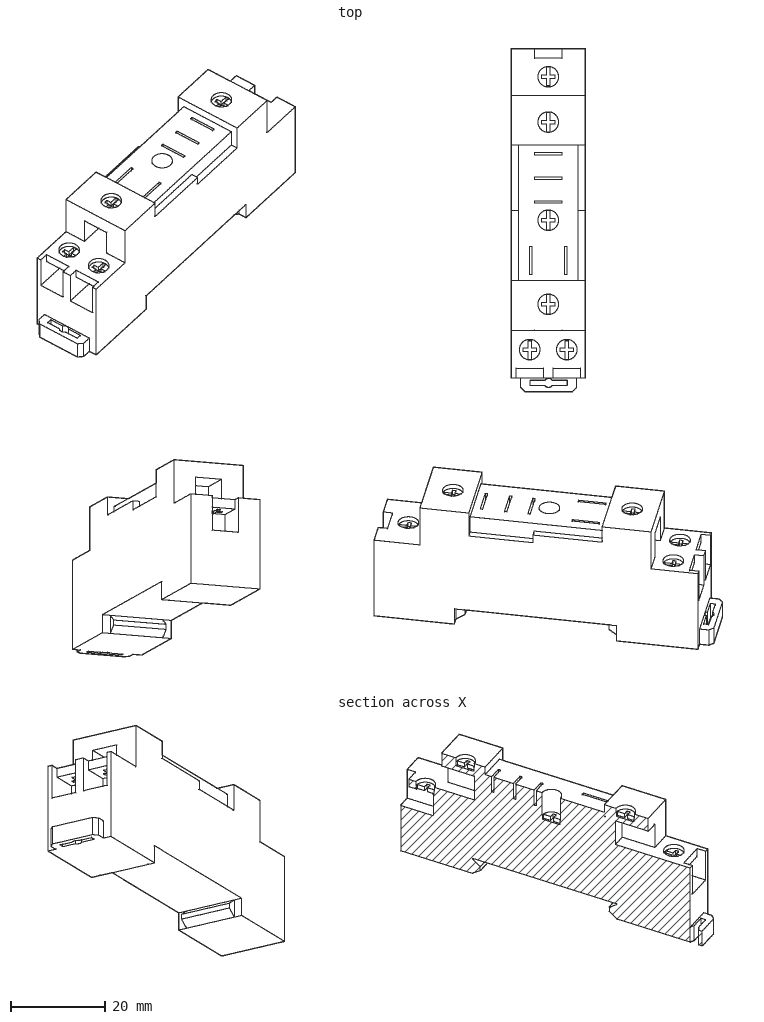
import cadquery as cq


WIDTH = 15.8
HEIGHT = 29.0
OVERALL_LENGTH = 73.0
BODY_LENGTH = 70.1
LEDGE_HEIGHT = 19.5
LEDGE_LENGTH = 10.15
REAR_LEDGE_LENGTH = 9.9
TOWER_LENGTH = 10.6
TOWER_FRONT = LEDGE_LENGTH
TOWER_BACK = BODY_LENGTH - REAR_LEDGE_LENGTH
DECK_FRONT = TOWER_FRONT + TOWER_LENGTH
DECK_BACK = TOWER_BACK - TOWER_LENGTH

DECK_HEIGHT = 27.0
SHOULDER_WIDTH = 1.5
SHOULDER_STEP = 2.0
SHOULDER_STEP_Y = 35.7
FRONT_SHOULDER_HEIGHT = DECK_HEIGHT - SHOULDER_STEP
REAR_SHOULDER_HEIGHT = FRONT_SHOULDER_HEIGHT - SHOULDER_STEP

CHANNEL_FRONT = 17.7
CHANNEL_BACK = 52.7
CHANNEL_HEIGHT = 3.95
LATCH_REACH = 2.0
LATCH_TIP_HEIGHT = 1.1
SLIDER_WIDTH = 12.0
SLIDER_X = 0.1
TAB_LENGTH = OVERALL_LENGTH - BODY_LENGTH
TAB_CHAMFER = 0.95
TAB_SLOT_LENGTH = 7.9
TAB_SLOT_WIDTH = 1.1
TAB_HOLE_DIAMETER = 1.9
TAB_SLOT_Y = -1.0

OPENING_WIDTH = 5.9
OPENING_DEPTH = 7.9
TOWER_OPENING_TOP = 25.55
LEDGE_OPENING_FLOOR = 12.0
LEDGE_OPENING_TOP = 17.45
NOTCH_DEPTH = 2.05

PAIR_X = 3.95
SCREW_DIAMETER = 4.4
SCREW_RECESS = 1.0
CROSS_LENGTH = 4.15
CROSS_SPAN = 2.9
CROSS_WIDTH = 0.7
CROSS_DEPTH = 1.0
FRONT_LEDGE_SCREW_Y = 6.05
FRONT_TOWER_SCREW_Y = 15.7
DECK_SCREW_Y = 33.6
REAR_TOWER_SCREW_Y = 54.45
REAR_LEDGE_SCREW_Y = 64.1
DECK_SCREW_RECESS = 5.9

SLIT_LENGTH = 5.9
SLIT_WIDTH = 0.5
SLIT_DEPTH = 3.95
CROSSWISE_SLIT_YS = (37.45, 42.5, 47.75)
LENGTHWISE_SLIT_X = 3.7
LENGTHWISE_SLIT_Y = 25.05


def block(x_mid, x_size, y_start, y_end, z_start, z_end):
    """Box centred on x_mid, between the given Y and Z limits."""
    return (
        cq.Workplane("XY")
        .box(x_size, y_end - y_start, z_end - z_start, centered=(True, False, False))
        .translate((x_mid, y_start, z_start))
    )


def side_profile(points, width):
    """Outline in the YZ plane, extruded to both sides of the middle plane."""
    return cq.Workplane("YZ").polyline(points).close().extrude(width / 2, both=True)


def housing():
    body = side_profile(
        [
            (0, 0),
            (CHANNEL_FRONT, 0),
            (CHANNEL_FRONT, CHANNEL_HEIGHT),
            (CHANNEL_BACK, CHANNEL_HEIGHT),
            (CHANNEL_BACK, 0),
            (BODY_LENGTH, 0),
            (BODY_LENGTH, LEDGE_HEIGHT),
            (TOWER_BACK, LEDGE_HEIGHT),
            (TOWER_BACK, HEIGHT),
            (DECK_BACK, HEIGHT),
            (DECK_BACK, DECK_HEIGHT),
            (DECK_FRONT, DECK_HEIGHT),
            (DECK_FRONT, HEIGHT),
            (TOWER_FRONT, HEIGHT),
            (TOWER_FRONT, LEDGE_HEIGHT),
            (0, LEDGE_HEIGHT),
        ],
        WIDTH,
    )
    shoulder_x = (WIDTH - SHOULDER_WIDTH) / 2
    for x in (-shoulder_x, shoulder_x):
        body = body.cut(
            block(x, SHOULDER_WIDTH, DECK_FRONT, SHOULDER_STEP_Y, FRONT_SHOULDER_HEIGHT, DECK_HEIGHT)
        )
        body = body.cut(
            block(x, SHOULDER_WIDTH, SHOULDER_STEP_Y, DECK_BACK, REAR_SHOULDER_HEIGHT, DECK_HEIGHT)
        )
    return body


def latch(wall_y, direction):
    """Tapered catch on a channel wall, pointing along +Y or -Y."""
    tip_y = wall_y + direction * LATCH_REACH
    tip_bottom = (CHANNEL_HEIGHT - LATCH_TIP_HEIGHT) / 2
    return side_profile(
        [
            (wall_y, 0),
            (tip_y, tip_bottom),
            (tip_y, tip_bottom + LATCH_TIP_HEIGHT),
            (wall_y, CHANNEL_HEIGHT),
        ],
        SLIDER_WIDTH,
    ).translate((SLIDER_X, 0, 0))


def release_tab():
    """Tab on the front wall, with a screwdriver slot widened by a round hole."""
    tab = block(SLIDER_X, SLIDER_WIDTH, -TAB_LENGTH, 0, 0, CHANNEL_HEIGHT)
    tab = tab.edges("|Z and <Y").chamfer(TAB_CHAMFER)
    slot = block(
        SLIDER_X,
        TAB_SLOT_LENGTH,
        TAB_SLOT_Y - TAB_SLOT_WIDTH / 2,
        TAB_SLOT_Y + TAB_SLOT_WIDTH / 2,
        0,
        CHANNEL_HEIGHT,
    )
    hole = cq.Workplane("XY").center(SLIDER_X, TAB_SLOT_Y).circle(TAB_HOLE_DIAMETER / 2).extrude(CHANNEL_HEIGHT)
    return tab.cut(slot).cut(hole)


def wire_opening(x, wall_y, direction, floor, top):
    """Blind opening that runs inward from a wall along +Y or -Y."""
    y_start, y_end = sorted((wall_y, wall_y + direction * OPENING_DEPTH))
    return block(x, OPENING_WIDTH, y_start, y_end, floor, top)


def ledge_opening(x, wall_y, direction):
    """Wire opening below a ledge, with a shallow notch up through the ledge edge."""
    y_start, y_end = sorted((wall_y, wall_y + direction * NOTCH_DEPTH))
    notch = block(x, OPENING_WIDTH, y_start, y_end, LEDGE_OPENING_FLOOR, LEDGE_HEIGHT)
    return wire_opening(x, wall_y, direction, LEDGE_OPENING_FLOOR, LEDGE_OPENING_TOP).union(notch)


def screw(x, y, top, recess):
    """Round recess with a cross slot sunk into its floor."""
    floor = top - recess
    shape = cq.Workplane("XY").circle(SCREW_DIAMETER / 2).extrude(recess).translate((x, y, floor))
    for x_size, y_size in ((CROSS_WIDTH, CROSS_LENGTH), (CROSS_SPAN, CROSS_WIDTH)):
        shape = shape.union(block(x, x_size, y - y_size / 2, y + y_size / 2, floor - CROSS_DEPTH, floor))
    return shape


def pin_slit(x, y, x_size, y_size):
    return block(x, x_size, y - y_size / 2, y + y_size / 2, DECK_HEIGHT - SLIT_DEPTH, DECK_HEIGHT)


result = housing()
result = result.union(latch(CHANNEL_FRONT, 1)).union(latch(CHANNEL_BACK, -1))
result = result.union(release_tab())

for pair_x in (-PAIR_X, PAIR_X):
    result = result.cut(ledge_opening(pair_x, 0, 1))
    result = result.cut(screw(pair_x, FRONT_LEDGE_SCREW_Y, LEDGE_HEIGHT, SCREW_RECESS))
result = result.cut(wire_opening(0, TOWER_FRONT, 1, LEDGE_HEIGHT, TOWER_OPENING_TOP))
result = result.cut(screw(0, FRONT_TOWER_SCREW_Y, HEIGHT, SCREW_RECESS))

result = result.cut(ledge_opening(0, BODY_LENGTH, -1))
result = result.cut(screw(0, REAR_LEDGE_SCREW_Y, LEDGE_HEIGHT, SCREW_RECESS))
result = result.cut(wire_opening(0, TOWER_BACK, -1, LEDGE_HEIGHT, TOWER_OPENING_TOP))
result = result.cut(screw(0, REAR_TOWER_SCREW_Y, HEIGHT, SCREW_RECESS))

result = result.cut(screw(0, DECK_SCREW_Y, DECK_HEIGHT, DECK_SCREW_RECESS))
for slit_y in CROSSWISE_SLIT_YS:
    result = result.cut(pin_slit(0, slit_y, SLIT_LENGTH, SLIT_WIDTH))
for slit_x in (-LENGTHWISE_SLIT_X, LENGTHWISE_SLIT_X):
    result = result.cut(pin_slit(slit_x, LENGTHWISE_SLIT_Y, SLIT_WIDTH, SLIT_LENGTH))